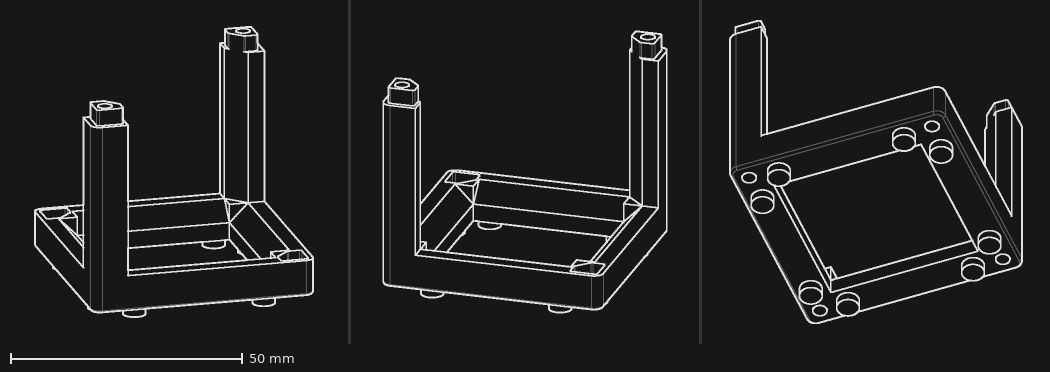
import cadquery as cq

side = 49.8
wall = 7.85
frame_height = 8.05
corner_radius = 2.05
bottom_fillet = 0.6
rail_top_width = 3.7
bevel = wall - rail_top_width
half_side = side / 2
half_opening = half_side - wall

total_height = 48.0
peg_height = 3.6
peg_inset = 1.25
peg_size = 6.0
peg_fillet = 0.5
socket_depth = 4.55
socket_clearance = 0.1
bore_diameter = 3.1
bore_inset = 3.7

foot_diameter = 4.95
foot_height = 2.15
foot_edge_inset = 4.2
foot_end_inset = 10.4

post_top = total_height - foot_height - peg_height

post_corners = [(-1, 1), (1, -1)]
socket_corners = [(-1, -1), (1, 1)]
all_corners = post_corners + socket_corners


def corner_outline(corner, inset, size, base_z):
    """Square set into a corner, its inner corner cut along the post's diagonal face."""
    x_sign, y_sign = corner
    far = inset + size
    cut = rail_top_width + wall - far
    points = [(inset, inset), (far, inset), (far, cut), (cut, far), (inset, far)]
    placed = [(x_sign * (half_side - u), y_sign * (half_side - v)) for u, v in points]
    return cq.Workplane("XY").workplane(offset=base_z).polyline(placed).close()


def rounded_prism(corner, inset, size, base_z, height):
    """Upright prism on the corner outline with rounded upright edges."""
    prism = corner_outline(corner, inset, size, base_z).extrude(height)
    return prism.edges("|Z").fillet(peg_fillet)


def make_frame():
    """Ring with beveled inner top edges that stop at four square corner blocks."""
    opening = 2 * half_opening
    frame = cq.Workplane("XY").rect(side, side).extrude(frame_height)
    frame = frame.edges("|Z").fillet(corner_radius)
    frame = frame.faces("<Z").edges().fillet(bottom_fillet)
    frame = frame.cut(cq.Workplane("XY").rect(opening, opening).extrude(frame_height))
    bevel_section = [
        (half_opening, frame_height - bevel),
        (half_opening + bevel, frame_height),
        (half_opening, frame_height),
    ]
    cutter = cq.Workplane("XZ").polyline(bevel_section).close().extrude(half_opening, both=True)
    for angle in (0, 90, 180, 270):
        frame = frame.cut(cutter.rotate((0, 0, 0), (0, 0, 1), angle))
    return frame


def make_post(corner):
    """Post flush with the frame's outer faces, ending in a reduced peg."""
    x_sign, y_sign = corner
    x_side = ">X" if x_sign > 0 else "<X"
    y_side = ">Y" if y_sign > 0 else "<Y"
    post = corner_outline(corner, 0, wall, frame_height).extrude(post_top - frame_height)
    post = post.edges(f"|Z and {x_side} and {y_side}").fillet(corner_radius)
    return post.union(rounded_prism(corner, peg_inset, peg_size, post_top, peg_height))


def make_socket(corner):
    """Cutter for a socket shaped like the peg, with clearance around its square sides."""
    inset = peg_inset - socket_clearance
    size = peg_size + 2 * socket_clearance
    return rounded_prism(corner, inset, size, frame_height - socket_depth, socket_depth)


def make_feet():
    """Two round feet under each rail."""
    near = half_side - foot_edge_inset
    along = half_side - foot_end_inset
    centers = []
    for x_sign, y_sign in all_corners:
        centers.append((x_sign * near, y_sign * along))
        centers.append((x_sign * along, y_sign * near))
    return cq.Workplane("XY").pushPoints(centers).circle(foot_diameter / 2).extrude(-foot_height)


def make_bores():
    """Through bore in every corner, running the full height of the posts."""
    offset = half_side - bore_inset
    centers = [(x_sign * offset, y_sign * offset) for x_sign, y_sign in all_corners]
    full_height = post_top + peg_height
    return cq.Workplane("XY").pushPoints(centers).circle(bore_diameter / 2).extrude(full_height)


result = make_frame()
for corner in post_corners:
    result = result.union(make_post(corner))
for corner in socket_corners:
    result = result.cut(make_socket(corner))
result = result.union(make_feet()).cut(make_bores())